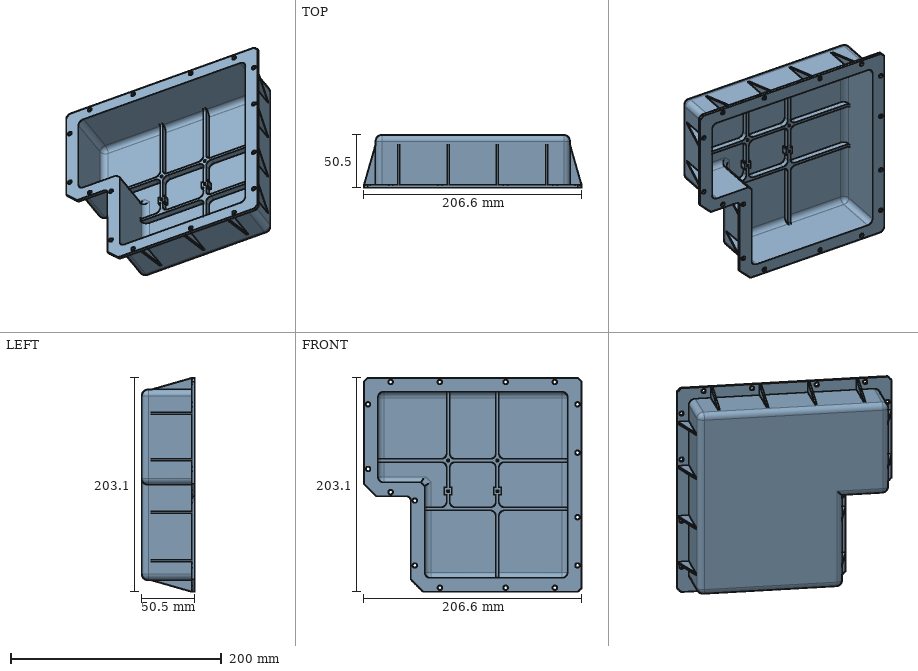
import cadquery as cq
import math

WIDTH = 206.6
HEIGHT = 203.1
DEPTH = 50.5

NOTCH_WIDTH = 44.5
NOTCH_HEIGHT = 90.7

FLANGE_THICKNESS = 2.9
SMALL_CHAMFER = 3.5
LARGE_CHAMFER = 11.8
NOTCH_RADIUS = 4.1
BOLT_DIAMETER = 4.1
BOLT_EDGE_DISTANCE = 4.0
BOLT_INNER_X = 31.2
BOLT_OUTER_X = 77.9
BOLT_INNER_Z = 30.5
BOLT_OUTER_Z = 76.5
LEFT_BOLT_Z = 15.0
NOTCH_BOLT_Z = -14.9

WALL_THICKNESS = 2.3
WALL_INSET = 11.0
CAVITY_INSET = WALL_INSET + WALL_THICKNESS
OUTER_RADIUS = 6.2
INNER_RADIUS = 5.5
REENTRANT_CHAMFER = 3.5
FLOOR_THICKNESS = 2.0

RIB_THICKNESS = 2.9
RIB_HEIGHT = 6.0
RIB_X = 23.3
RIB_UPPER_Z = 23.1
RIB_LOWER_Z = -22.7
RIB_JOINT_RADIUS = 5.4
RIB_END_RADIUS = 1.7
BLOCK_SIZE = 7.0
BLOCK_DROP = 29.1
PILOT_DEPTH = RIB_HEIGHT
PILOT_SINK_DIAMETER = 2.3
PILOT_DIAMETER = 1.78

GUSSET_THICKNESS = 1.9
GUSSET_TOP = 41.1
GUSSET_INNER_X = RIB_X
GUSSET_OUTER_X = 70.3
UPPER_GUSSET_Z = (23.8, 67.8)
LOWER_GUSSET_Z = (-26.0, -72.0)

LEFT = -WIDTH / 2
RIGHT = WIDTH / 2
BOTTOM = -HEIGHT / 2
TOP = HEIGHT / 2
NOTCH_X = LEFT + NOTCH_WIDTH
NOTCH_Z = BOTTOM + NOTCH_HEIGHT
FLOOR_Y = DEPTH - FLOOR_THICKNESS
RIB_TOP_Y = FLOOR_Y - RIB_HEIGHT
BLOCK_Z = RIB_UPPER_Z - BLOCK_DROP


def section_at(y):
    """Sketch plane at depth y with local axes X and Z; a negative extrusion goes toward +Y."""
    return cq.Workplane("XZ", origin=(0, y, 0))


def l_prism(inset, depth):
    """L-shaped prism set in from the flange outline, from the open face to a depth."""
    points = [
        (NOTCH_X + inset, BOTTOM + inset),
        (RIGHT - inset, BOTTOM + inset),
        (RIGHT - inset, TOP - inset),
        (LEFT + inset, TOP - inset),
        (LEFT + inset, NOTCH_Z + inset),
        (NOTCH_X + inset, NOTCH_Z + inset),
    ]
    return section_at(0).polyline(points).close().extrude(-depth)


def box(x_range, y_range, z_range):
    size = [high - low for low, high in (x_range, y_range, z_range)]
    corner = (x_range[0], y_range[0], z_range[0])
    return cq.Workplane("XY").box(*size, centered=False).translate(corner)


def depth_edge(x, z):
    """Selector for the edge along Y that passes nearest to (x, z)."""
    return cq.selectors.NearestToPointSelector((x, FLANGE_THICKNESS / 2, z))


def make_flange():
    flange = l_prism(0, FLANGE_THICKNESS)
    for x, z in [(LEFT, TOP), (RIGHT, TOP), (RIGHT, BOTTOM)]:
        flange = flange.edges("|Y").edges(depth_edge(x, z)).chamfer(SMALL_CHAMFER)
    for x, z in [(LEFT, NOTCH_Z), (NOTCH_X, BOTTOM)]:
        flange = flange.edges("|Y").edges(depth_edge(x, z)).chamfer(LARGE_CHAMFER)
    return flange.edges("|Y").edges(depth_edge(NOTCH_X, NOTCH_Z)).fillet(NOTCH_RADIUS)


def rounded_tray_body(inset, back, radius, reentrant_chamfer=0.0):
    """L-shaped prism with rounded outer corners and back edges.

    Its re-entrant corner stays sharp unless a chamfer is given.
    """
    body = l_prism(inset, back)
    reentrant = cq.selectors.NearestToPointSelector((NOTCH_X + inset, back / 2, NOTCH_Z + inset))
    corners = cq.selectors.ParallelDirSelector(cq.Vector(0, 1, 0)) - reentrant
    body = body.edges(corners).fillet(radius).faces(">Y").edges().fillet(radius)
    if reentrant_chamfer:
        body = body.edges("|Y").edges(reentrant).chamfer(reentrant_chamfer)
    return body


def make_gusset(wall_point, edge_point):
    """Triangular plate from a wall point to a flange edge point, both given as (x, z)."""
    wall_x, wall_z = wall_point
    edge_x, edge_z = edge_point
    base = FLANGE_THICKNESS
    if wall_z == edge_z:
        plane = cq.Workplane("XY", origin=(0, 0, wall_z))
        profile = [(edge_x, base), (wall_x, base), (wall_x, GUSSET_TOP)]
    else:
        plane = cq.Workplane("YZ", origin=(wall_x, 0, 0))
        profile = [(base, edge_z), (base, wall_z), (GUSSET_TOP, wall_z)]
    return plane.polyline(profile).close().extrude(GUSSET_THICKNESS / 2, both=True)


def make_gussets():
    right_x = (-GUSSET_INNER_X, GUSSET_INNER_X, GUSSET_OUTER_X)
    lines = []
    for x in (-GUSSET_OUTER_X, *right_x):
        lines.append(((x, TOP - WALL_INSET), (x, TOP)))
    for x in right_x:
        lines.append(((x, BOTTOM + WALL_INSET), (x, BOTTOM)))
    for z in UPPER_GUSSET_Z:
        lines.append(((LEFT + WALL_INSET, z), (LEFT, z)))
    for z in LOWER_GUSSET_Z:
        lines.append(((NOTCH_X + WALL_INSET, z), (NOTCH_X, z)))
    for z in UPPER_GUSSET_Z + LOWER_GUSSET_Z:
        lines.append(((RIGHT - WALL_INSET, z), (RIGHT, z)))
    return [make_gusset(wall_point, edge_point) for wall_point, edge_point in lines]


def make_floor_ribs():
    """Crossing ribs on the tray floor with rounded joints, plus a square block on each upright.

    The left upright ends on the lower rib.
    """
    half = RIB_THICKNESS / 2
    y_range = (RIB_TOP_Y, FLOOR_Y)
    ribs = box((-RIB_X - half, -RIB_X + half), y_range, (RIB_LOWER_Z, TOP))
    ribs = ribs.union(box((RIB_X - half, RIB_X + half), y_range, (BOTTOM, TOP)))
    for z in (RIB_LOWER_Z, RIB_UPPER_Z):
        ribs = ribs.union(box((LEFT, RIGHT), y_range, (z - half, z + half)))
    joint_zone = cq.selectors.BoxSelector(
        (-RIB_X - RIB_THICKNESS, RIB_TOP_Y, RIB_LOWER_Z - RIB_THICKNESS),
        (RIB_X + RIB_THICKNESS, FLOOR_Y, RIB_UPPER_Z + RIB_THICKNESS),
    )
    ribs = ribs.edges("|Y").edges(joint_zone).fillet(RIB_JOINT_RADIUS)
    half_block = BLOCK_SIZE / 2
    for x in (-RIB_X, RIB_X):
        z_range = (BLOCK_Z - half_block, BLOCK_Z + half_block)
        ribs = ribs.union(box((x - half_block, x + half_block), y_range, z_range))
    return ribs


def make_rib_end(x, z, angle):
    """Concave round where a rib top meets a wall at (x, z).

    The angle turns it about Y: 0 for a right wall, 90 bottom, 180 left, 270 top.
    """
    radius = RIB_END_RADIUS
    arc_middle = radius * (math.sqrt(0.5) - 1)
    end = (
        cq.Workplane("XY")
        .moveTo(0, RIB_TOP_Y)
        .lineTo(-radius, RIB_TOP_Y)
        .threePointArc((arc_middle, RIB_TOP_Y + arc_middle), (0, RIB_TOP_Y - radius))
        .close()
        .extrude(RIB_THICKNESS / 2, both=True)
    )
    return end.rotate((0, 0, 0), (0, 1, 0), angle).translate((x, 0, z))


def make_rib_ends():
    cavity_right = RIGHT - CAVITY_INSET
    cavity_top = TOP - CAVITY_INSET
    return [
        make_rib_end(cavity_right, RIB_UPPER_Z, 0),
        make_rib_end(cavity_right, RIB_LOWER_Z, 0),
        make_rib_end(RIB_X, BOTTOM + CAVITY_INSET, 90),
        make_rib_end(LEFT + CAVITY_INSET, RIB_UPPER_Z, 180),
        make_rib_end(NOTCH_X + CAVITY_INSET, RIB_LOWER_Z, 180),
        make_rib_end(-RIB_X, cavity_top, 270),
        make_rib_end(RIB_X, cavity_top, 270),
    ]


def drill(points, diameter, front, depth):
    return section_at(front).pushPoints(points).circle(diameter / 2).extrude(-depth)


def pilot_hole(x, z):
    """Blind hole in the rib top with a 45 degree countersink."""
    hole = drill([(x, z)], PILOT_DIAMETER, RIB_TOP_Y, PILOT_DEPTH)
    sink_depth = (PILOT_SINK_DIAMETER - PILOT_DIAMETER) / 2
    sink = cq.Solid.makeCone(
        PILOT_SINK_DIAMETER / 2,
        PILOT_DIAMETER / 2,
        sink_depth,
        pnt=cq.Vector(x, RIB_TOP_Y, z),
        dir=cq.Vector(0, 1, 0),
    )
    return hole.union(cq.Workplane(sink))


def bolt_points():
    edge = BOLT_EDGE_DISTANCE
    points = [(x, TOP - edge) for x in (-BOLT_OUTER_X, -BOLT_INNER_X, BOLT_INNER_X, BOLT_OUTER_X)]
    points += [(x, BOTTOM + edge) for x in (-BOLT_INNER_X, BOLT_INNER_X, BOLT_OUTER_X)]
    points += [(RIGHT - edge, z) for z in (-BOLT_OUTER_Z, -BOLT_INNER_Z, BOLT_INNER_Z, BOLT_OUTER_Z)]
    points += [(LEFT + edge, z) for z in (LEFT_BOLT_Z, BOLT_OUTER_Z)]
    points += [(NOTCH_X + edge, z) for z in (-BOLT_OUTER_Z, NOTCH_BOLT_Z)]
    points.append((-BOLT_OUTER_X, NOTCH_Z + edge))
    return points


body = rounded_tray_body(WALL_INSET, DEPTH, OUTER_RADIUS)
cavity = rounded_tray_body(CAVITY_INSET, FLOOR_Y, INNER_RADIUS, REENTRANT_CHAMFER)

result = make_flange().union(body)
for gusset in make_gussets():
    result = result.union(gusset)
result = result.cut(cavity)
result = result.union(make_floor_ribs().intersect(cavity))
for rib_end in make_rib_ends():
    result = result.union(rib_end)
result = result.cut(drill(bolt_points(), BOLT_DIAMETER, 0, FLANGE_THICKNESS))
for x in (-RIB_X, RIB_X):
    for z in (RIB_UPPER_Z, BLOCK_Z):
        result = result.cut(pilot_hole(x, z))